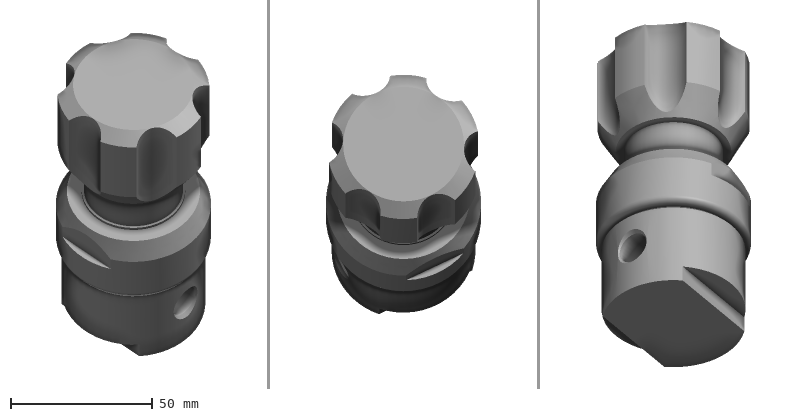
import cadquery as cq
import math

TOTAL_HEIGHT = 117.09
BASE_FLAT_HEIGHT = 6.2
BODY_TOP = 32.3
CAP_BOTTOM = 33.9
CAP_FLAT_BOTTOM = 47.9
CAP_BEVEL_BOTTOM = 53.1
CAP_TOP = 59.9
COLLAR_TOP = 61.0
KNOB_BOTTOM = 76.3
KNOB_TAPER_TOP = 87.3
KNOB_BEVEL_BOTTOM = 114.1

BODY_RADIUS = 25.5
GROOVE_RADIUS = 24.0
CAP_RADIUS = 27.5
CAP_TOP_RADIUS = 23.6
CAP_FILLET = 2.2
COLLAR_RADIUS = 18.4
NECK_RADIUS = 17.6
KNOB_RADIUS = 27.0
KNOB_BOTTOM_RADIUS = 20.5
KNOB_TOP_RADIUS = 21.4

BASE_ACROSS_FLATS = 35.2
CAP_ACROSS_FLATS = 50.0

FLUTE_COUNT = 6
FLUTE_RADIUS = 8.5
FLUTE_ROOT_RADIUS = 21.5
FLUTE_START_ANGLE = 30.0

PORT_HEIGHT = 18.9
PORT_RADIUS = 5.85
PORT_MOUTH_RADIUS = 7.1
PORT_DEPTH = 12.5
PORT_TAPER = 1 / 16


def make_turned_body():
    """Revolve the half profile of body, groove, cap, neck and knob."""
    fillet_mid_offset = CAP_FILLET * (1 - math.sqrt(0.5))
    profile = (
        cq.Workplane("XZ")
        .lineTo(BODY_RADIUS, 0)
        .lineTo(BODY_RADIUS, BODY_TOP)
        .lineTo(GROOVE_RADIUS, BODY_TOP)
        .lineTo(GROOVE_RADIUS, CAP_BOTTOM)
        .lineTo(CAP_RADIUS - CAP_FILLET, CAP_BOTTOM)
        .threePointArc(
            (CAP_RADIUS - fillet_mid_offset, CAP_BOTTOM + fillet_mid_offset),
            (CAP_RADIUS, CAP_BOTTOM + CAP_FILLET),
        )
        .lineTo(CAP_RADIUS, CAP_BEVEL_BOTTOM)
        .lineTo(CAP_TOP_RADIUS, CAP_TOP)
        .lineTo(COLLAR_RADIUS, CAP_TOP)
        .lineTo(COLLAR_RADIUS, COLLAR_TOP)
        .lineTo(NECK_RADIUS, COLLAR_TOP)
        .lineTo(NECK_RADIUS, KNOB_BOTTOM)
        .lineTo(KNOB_BOTTOM_RADIUS, KNOB_BOTTOM)
        .lineTo(KNOB_RADIUS, KNOB_TAPER_TOP)
        .lineTo(KNOB_RADIUS, KNOB_BEVEL_BOTTOM)
        .lineTo(KNOB_TOP_RADIUS, TOTAL_HEIGHT)
        .lineTo(0, TOTAL_HEIGHT)
        .close()
    )
    return profile.revolve(360, (0, 0, 0), (0, 1, 0))


def cut_flat_pair(part, across_flats, bottom, top):
    """Remove everything beyond two parallel flats between two heights."""
    slab = cq.Workplane("XY").box(
        2 * CAP_RADIUS, CAP_RADIUS, top - bottom, centered=(True, False, False)
    )
    slab = slab.translate((0, across_flats / 2, bottom))
    return part.cut(slab).cut(slab.mirror("XZ"))


def cut_flutes(part):
    """Scallop the knob with vertical cylindrical grooves."""
    flutes = (
        cq.Workplane("XY", origin=(0, 0, KNOB_BOTTOM))
        .polarArray(FLUTE_ROOT_RADIUS + FLUTE_RADIUS, FLUTE_START_ANGLE, 360, FLUTE_COUNT)
        .circle(FLUTE_RADIUS)
        .extrude(TOTAL_HEIGHT - KNOB_BOTTOM)
    )
    return part.cut(flutes)


def make_port():
    """Blind tapered bore with a 45 degree countersink, entering from the -X side."""
    countersink_depth = PORT_MOUTH_RADIUS - PORT_RADIUS
    floor_radius = PORT_RADIUS - (PORT_DEPTH - countersink_depth) * PORT_TAPER / 2
    return (
        cq.Workplane("XY", origin=(-BODY_RADIUS, 0, PORT_HEIGHT))
        .lineTo(0, PORT_MOUTH_RADIUS)
        .lineTo(countersink_depth, PORT_RADIUS)
        .lineTo(PORT_DEPTH, floor_radius)
        .lineTo(PORT_DEPTH, 0)
        .close()
        .revolve(360, (0, 0, 0), (1, 0, 0))
    )


def cut_ports(part):
    """Cut the port and its mirror image on the +X side."""
    port = make_port()
    return part.cut(port).cut(port.mirror("YZ"))


result = make_turned_body()
result = cut_flat_pair(result, BASE_ACROSS_FLATS, 0, BASE_FLAT_HEIGHT)
result = cut_flat_pair(result, CAP_ACROSS_FLATS, CAP_FLAT_BOTTOM, CAP_TOP)
result = cut_flutes(result)
result = cut_ports(result)